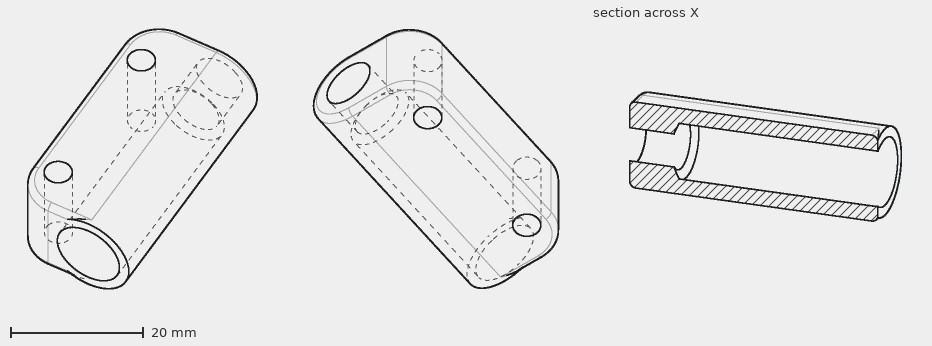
import cadquery as cq
import math

length = 40.0
width = 20.0
height = 14.0

corner_radius = 6.0
edge_radius = 1.0

barrel_radius = height / 2
barrel_x = width - barrel_radius

bore_front_diameter = 10.75
bore_back_diameter = 8.0
bore_front_depth = 32.0
bore_cone_angle = 118.0
bore_step = (bore_front_diameter - bore_back_diameter) / 2
bore_cone_length = bore_step / math.tan(math.radians(bore_cone_angle / 2))

screw_diameter = 4.25
screw_x = 4.0
screw_y_front = 6.7
screw_spacing = 25.4


def make_plate():
    """Plate with rounded free corners and rounded top and bottom rims."""
    plate = cq.Workplane("XY").box(barrel_x, length, height, centered=(False, False, True))
    plate = plate.edges("|Z and <X").fillet(corner_radius)
    rims = plate.faces("|Z").edges("not >X")
    return rims.fillet(edge_radius)


def make_barrel():
    """Solid barrel with a sharp front end and a rounded back end."""
    barrel = cq.Workplane("XZ").center(barrel_x, 0).circle(barrel_radius).extrude(-length)
    return barrel.faces(">Y").edges().fillet(edge_radius)


def make_bore():
    """Stepped cutter with a conical shoulder, revolved about the barrel axis."""
    front_radius = bore_front_diameter / 2
    back_radius = bore_back_diameter / 2
    half_profile = (
        cq.Workplane("XY")
        .moveTo(0, 0)
        .lineTo(front_radius, 0)
        .lineTo(front_radius, bore_front_depth)
        .lineTo(back_radius, bore_front_depth + bore_cone_length)
        .lineTo(back_radius, length)
        .lineTo(0, length)
        .close()
    )
    return half_profile.revolve(360, (0, 0), (0, 1)).translate((barrel_x, 0, 0))


def make_screw_holes():
    """Two vertical cutters along the plate."""
    centres = [(screw_x, screw_y_front), (screw_x, screw_y_front + screw_spacing)]
    holes = cq.Workplane("XY").workplane(offset=-height / 2).pushPoints(centres)
    return holes.circle(screw_diameter / 2).extrude(height)


body = make_plate().union(make_barrel())
result = body.cut(make_bore()).cut(make_screw_holes())